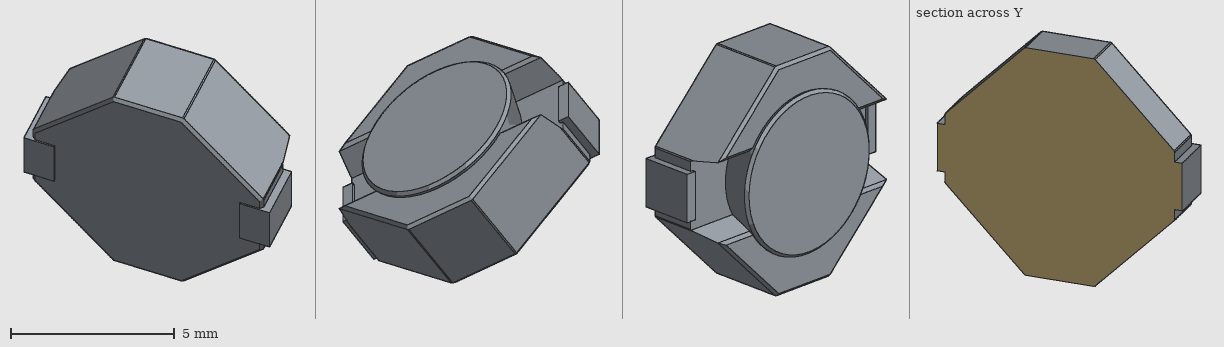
import cadquery as cq
import math

body_width = 7.6
body_width_diagonal = 7.0
body_start = 0.05
body_end = 2.8
side_edge_chamfer = 0.03
rim_chamfer = 0.1

slot_floor = 1.7
slot_draft = 10.0
slot_half_width = body_width_diagonal / math.sqrt(2) - body_width / 2
slot_length = 2 * body_width

core_end = 3.0
core_rim_chamfer = 0.1
core_radius = 2.68
core_base_radius = 2.31

terminal_span = 8.1
terminal_width = 1.6
terminal_height = 1.8
foot_length = 1.0
foot_thickness = body_start
wall_thickness = (terminal_span - body_width) / 2 + rim_chamfer


def plane_at(y):
    """Sketch plane facing +Y; its local x is +Z and its local y is +X."""
    return cq.Workplane(cq.Plane(origin=(0, y, 0), xDir=(0, 0, 1), normal=(0, 1, 0)))


def make_octagon():
    height = body_end - body_start
    square = plane_at(body_start).rect(body_width, body_width).extrude(height)
    turned = plane_at(body_start).rect(body_width_diagonal, body_width_diagonal).extrude(height)
    turned = turned.rotate((0, 0, 0), (0, 1, 0), 45)
    return square.intersect(turned).edges("|Y").chamfer(side_edge_chamfer)


def make_slot():
    end_half_width = slot_half_width + (body_end - slot_floor) * math.tan(math.radians(slot_draft))
    profile = [
        (slot_floor, -slot_half_width),
        (slot_floor, slot_half_width),
        (body_end, end_half_width),
        (body_end, -end_half_width),
    ]
    outline = cq.Workplane("YZ").polyline(profile).close()
    return outline.extrude(slot_length / 2, both=True)


def make_body():
    body = make_octagon().faces("<Y").chamfer(rim_chamfer)
    return body.cut(make_slot()).faces(">Y").chamfer(rim_chamfer)


def make_core():
    flare_end = core_end - core_rim_chamfer
    profile = [
        (0, slot_floor),
        (core_base_radius, slot_floor),
        (core_radius, flare_end),
        (core_radius - core_rim_chamfer, core_end),
        (0, core_end),
    ]
    return cq.Workplane("XY").polyline(profile).close().revolve(360, (0, 0, 0), (0, 1, 0))


def make_terminal(side):
    """L-shaped clip; side is +1 for the +X side and -1 for the -X side."""
    outer = side * terminal_span / 2
    wall_inner = outer - side * wall_thickness
    foot_inner = outer - side * foot_length
    profile = [
        (outer, 0),
        (outer, terminal_height),
        (wall_inner, terminal_height),
        (wall_inner, foot_thickness),
        (foot_inner, foot_thickness),
        (foot_inner, 0),
    ]
    return cq.Workplane("XY").polyline(profile).close().extrude(terminal_width / 2, both=True)


result = make_body().union(make_core())
for side in (-1, 1):
    result = result.union(make_terminal(side))